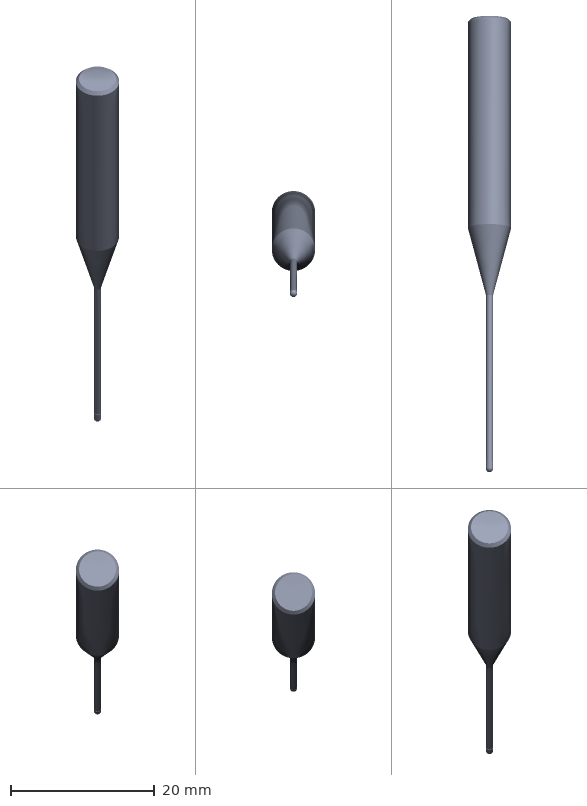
import cadquery as cq
import math

total_length = 64.0
shank_diameter = 6.0
shank_chamfer = 0.45
cutter_diameter = 1.0
cutter_length = 1.55
neck_diameter = 0.95
neck_top = 24.95
taper_top = 34.5

shank_radius = shank_diameter / 2
cutter_radius = cutter_diameter / 2
neck_radius = neck_diameter / 2


def revolve_profile(profile):
    """Turn a closed half-section (radius, height) about the Z axis."""
    return profile.close().revolve(360, (0, 0, 0), (0, 1, 0))


def make_cutter():
    """Cylindrical cutting head with a hemispherical nose."""
    arc_offset = cutter_radius * math.sqrt(0.5)
    return revolve_profile(
        cq.Workplane("XZ")
        .threePointArc((arc_offset, cutter_radius - arc_offset), (cutter_radius, cutter_radius))
        .lineTo(cutter_radius, cutter_length)
        .lineTo(0, cutter_length)
    )


def make_neck():
    """Slim cylinder between the cutting head and the taper."""
    return cq.Workplane("XY", origin=(0, 0, cutter_length)).circle(neck_radius).extrude(neck_top - cutter_length)


def make_shank():
    """Clamping shank with a taper down to the neck and a chamfered top."""
    return revolve_profile(
        cq.Workplane("XZ")
        .moveTo(0, neck_top)
        .lineTo(neck_radius, neck_top)
        .lineTo(shank_radius, taper_top)
        .lineTo(shank_radius, total_length - shank_chamfer)
        .lineTo(shank_radius - shank_chamfer, total_length)
        .lineTo(0, total_length)
    )


cutter = make_cutter()
neck = make_neck()
shank = make_shank()

result = cq.Compound.makeCompound([cutter.val(), neck.val(), shank.val()])